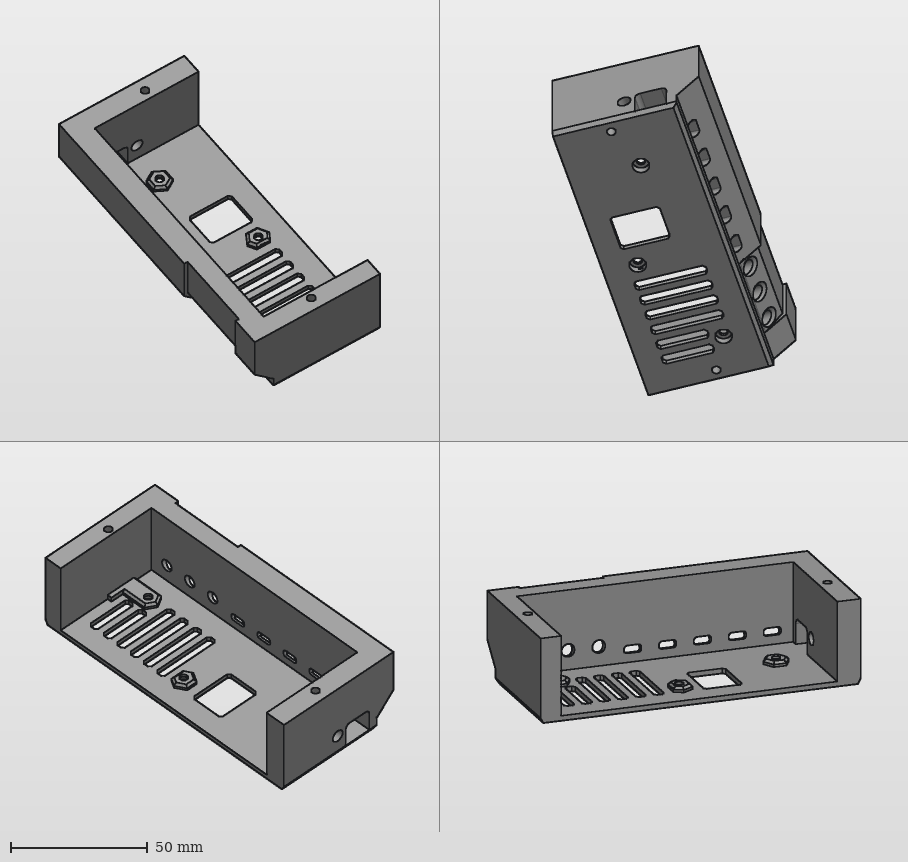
import cadquery as cq
import math

length = 125
depth = 56.0
height = 33.0

floor_top = 2.0
left_wall = 9.1
right_wall = 8.0
front_wall = 9.6
inner_right = length - right_wall

front_setback = 8.5
slope_top = 14.0
slope_bottom = slope_top - front_setback
front_chamfer = 1.5
side_chamfer_width = 1.1
side_chamfer_height = 2.0

recess_left = 80
recess_right = 112.8
recess_depth = 1.5
recess_slope_top = 15.1
recess_slope_bottom = 6.0
button_hole_diameter = 5
button_chamfer = 1.0
button_z = 9.5
button_first_x = 85
button_pitch = 12.0
button_count = 3

front_vent_length = 6.8
front_vent_height = 3.0
front_vent_corner = 1.2
front_vent_first_x = 17.2
front_vent_pitch = 13.6
front_vent_count = 5

floor_window_center = (50.1, 37.2)
floor_window_size = (15, 18.9)
floor_bevel = 1.0
floor_vent_width = 4.0
floor_vent_back = 46.6
long_vent_front = 19.2
short_vent_front = 27.0
floor_vent_first_x = 75
floor_vent_pitch = 7.0
long_vent_count = 4
short_vent_count = 2

boss_flats = 8.6
boss_corners = boss_flats / math.cos(math.radians(30))
boss_height = 2.0
boss_chamfer = 1.0
screw_hole_diameter = 3.2
screw_head_diameter = 6.2
screw_head_depth = 2.9
left_boss = (23.0, 28.9)
middle_boss = (66.0, 42.9)
middle_boss_right_flat = 3.4
right_boss = (106.0, 22.0)
wall_pad_width = 2.0
wall_pad_back = 32.0

wall_screws = [(5.1, 34.9), (119.9, 28.9)]

cable_hole_diameter = 5
cable_hole_y = 28.5
cable_hole_z = 9.5
port_front = 12.4
port_back = 24.4
port_top = 12.1
port_corner = 2.0


def box(x_range, y_range, z_range):
    """Box given by its lower and upper limit on each axis."""
    (x0, x1), (y0, y1), (z0, z1) = x_range, y_range, z_range
    return cq.Workplane("XY").box(x1 - x0, y1 - y0, z1 - z0, centered=False).translate((x0, y0, z0))


def upright_cylinder(center, diameter, top=height):
    """Cylinder along Z, from the underside of the part up to the given top."""
    return cq.Workplane("XY").center(*center).circle(diameter / 2).extrude(top)


def side_profile(points, x_start, x_end):
    """Outline of (Y, Z) points extruded along X."""
    return cq.Workplane("YZ").workplane(offset=x_start).polyline(points).close().extrude(x_end - x_start)


def make_shell():
    """Floor with three walls, open at the back and top."""
    outline = [
        (front_setback + front_chamfer, 0),
        (depth, 0),
        (depth, height),
        (0, height),
        (0, slope_top),
        (front_setback, slope_bottom),
        (front_setback, front_chamfer),
    ]
    body = side_profile(outline, 0, length)
    for x_edge, inward in [(0, 1), (length, -1)]:
        bevel = (
            cq.Workplane("XZ")
            .polyline([(x_edge, 0), (x_edge + inward * side_chamfer_width, 0), (x_edge, side_chamfer_height)])
            .close()
            .extrude(-depth)
        )
        body = body.cut(bevel)
    return body.cut(box((left_wall, inner_right), (front_wall, depth), (floor_top, height)))


def cut_button_recess(body):
    """Shallow recess whose steep lower face runs out into the 45 degree slope, with chamfered holes."""
    runout_y = slope_top - recess_slope_bottom
    outline = [
        (0, height),
        (recess_depth, height),
        (recess_depth, recess_slope_top),
        (runout_y, recess_slope_bottom),
        (0, recess_slope_bottom),
    ]
    body = body.cut(side_profile(outline, recess_left, recess_right))
    button_xs = [button_first_x + i * button_pitch for i in range(button_count)]
    holes = (
        cq.Workplane("XZ")
        .pushPoints([(x, button_z) for x in button_xs])
        .circle(button_hole_diameter / 2)
        .extrude(-front_wall)
    )
    body = body.cut(holes)
    slope_run = (runout_y - recess_depth) / (recess_slope_top - recess_slope_bottom)
    rim_y = recess_depth + (recess_slope_top - button_z) * slope_run
    for x in button_xs:
        rim = cq.selectors.NearestToPointSelector((x, rim_y, button_z))
        body = body.edges(rim).chamfer(button_chamfer)
    return body


def make_front_vents():
    """Row of rounded slots through the bottom of the front wall."""
    center_z = slope_bottom + front_vent_height / 2
    return (
        cq.Workplane("XZ")
        .pushPoints([(front_vent_first_x + i * front_vent_pitch, center_z) for i in range(front_vent_count)])
        .rect(front_vent_length, front_vent_height)
        .extrude(-front_wall)
        .edges("|Y")
        .fillet(front_vent_corner)
    )


def floor_opening(center, size):
    """Rectangular opening through the floor with bevelled corners."""
    return cq.Workplane("XY").center(*center).rect(*size).extrude(floor_top).edges("|Z").chamfer(floor_bevel)


def cut_floor_openings(body):
    """Large window and a row of vents; the last vents stop short of the right boss."""
    body = body.cut(floor_opening(floor_window_center, floor_window_size))
    fronts = [long_vent_front] * long_vent_count + [short_vent_front] * short_vent_count
    for i, front in enumerate(fronts):
        center = (floor_vent_first_x + i * floor_vent_pitch, (front + floor_vent_back) / 2)
        body = body.cut(floor_opening(center, (floor_vent_width, floor_vent_back - front)))
    return body


def hexagon(center, rotation=0):
    """Hexagonal prism on the floor; corners point along X before rotation."""
    return (
        cq.Workplane("XY")
        .polygon(6, boss_corners)
        .extrude(boss_height)
        .rotate((0, 0, 0), (0, 0, 1), rotation)
        .translate((*center, floor_top))
    )


def make_bosses():
    """Three bosses with bevelled tops; the right one reaches the wall and joins a small pad."""
    boss_z = (floor_top, floor_top + boss_height)
    left = hexagon(left_boss).faces(">Z").chamfer(boss_chamfer)

    x, y = middle_boss
    keep = box((x - boss_flats, x + middle_boss_right_flat), (y - boss_flats, y + boss_flats), boss_z)
    middle = hexagon(middle_boss, 90).intersect(keep).faces(">Z").chamfer(boss_chamfer)

    x, y = right_boss
    arm_y = (y - boss_flats / 2, y + boss_flats / 2)
    right = hexagon(right_boss).union(box((x, inner_right), arm_y, boss_z))
    right = right.faces(">Z").edges("not >X").chamfer(boss_chamfer)
    pad = box((inner_right - wall_pad_width, inner_right), (y, wall_pad_back), boss_z)
    return left.union(middle).union(right).union(pad)


def make_left_wall_openings():
    """Round cable hole and a port with rounded upper corners, both through the left wall."""
    cable_hole = (
        cq.Workplane("YZ").center(cable_hole_y, cable_hole_z).circle(cable_hole_diameter / 2).extrude(left_wall)
    )
    port = box((0, left_wall), (port_front, port_back), (floor_top, port_top))
    return cable_hole.union(port.edges("|X and >Z").fillet(port_corner))


result = cut_button_recess(make_shell())
result = result.cut(make_front_vents())
result = cut_floor_openings(result)
result = result.union(make_bosses())
bosses = [left_boss, middle_boss, right_boss]
for screw in bosses + wall_screws:
    result = result.cut(upright_cylinder(screw, screw_hole_diameter))
for boss in bosses:
    result = result.cut(upright_cylinder(boss, screw_head_diameter, screw_head_depth))
result = result.cut(make_left_wall_openings())